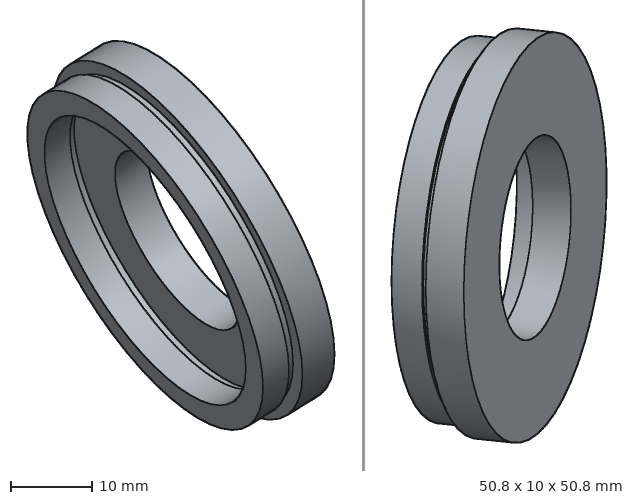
import cadquery as cq

flange_diameter = 50.8
rim_diameter = 48.0
groove_diameter = 47.0
recess_diameter = 41.0
undercut_diameter = 42.0
bore_diameter = 25.4

total_thickness = 10.0
flange_thickness = 5.0
groove_width = 1.0
recess_depth = 5.0
undercut_width = 1.0


def disc(diameter, start, length):
    """Cylinder along +Y, starting at the given Y position."""
    profile = cq.Workplane("XZ", origin=(0, start, 0)).circle(diameter / 2)
    return profile.extrude(-length)


flange_start = total_thickness - flange_thickness
rim_width = flange_start - groove_width
body = disc(rim_diameter, 0, rim_width)
body = body.union(disc(groove_diameter, rim_width, groove_width))
body = body.union(disc(flange_diameter, flange_start, flange_thickness))

body = body.cut(disc(recess_diameter, 0, recess_depth))
body = body.cut(disc(undercut_diameter, recess_depth - undercut_width, undercut_width))
result = body.cut(disc(bore_diameter, 0, total_thickness))